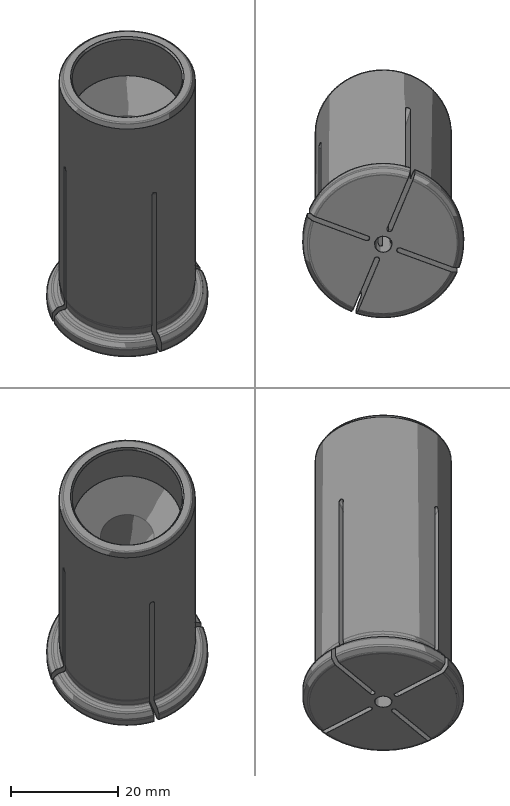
import cadquery as cq
import math

length = 60.0
body_radius = 25.4 / 2

flange_radius = 15.0
flange_height = 4.0
flange_chamfer = 1.0
flange_edge_fillet = 0.55

groove_depth = 0.15
groove_top = 5.8
groove_taper_height = 0.6
groove_fillet = 0.5

top_chamfer_width = 0.6
top_chamfer_height = 1.0
top_edge_fillet = 0.35

bore_radius = 3.2 / 2
cup_radius = 20.5 / 2
cup_depth = 10.1
cup_chamfer_width = 0.3
cup_chamfer_height = 0.5
throat_radius = 10.0 / 2
upper_cone_half_angle = 45.0
lower_cone_half_angle = 30.0

slot_width = 0.95
slot_floor_radius = 34.9
slot_centre_height = 14.05
slot_overcut = 0.2
slot_count = 4

tolerance = 0.0005


def cone_height(outer_radius, inner_radius, half_angle):
    """Height of a cone between two radii."""
    return (outer_radius - inner_radius) / math.tan(math.radians(half_angle))


def fillet_circles(body, circles, fillet_radius):
    """Round the circular edges given as (radius, height) pairs."""
    edges = []
    for radius, height in circles:
        for edge in body.edges("%CIRCLE").vals():
            if abs(edge.radius() - radius) < tolerance and abs(edge.Center().z - height) < tolerance:
                edges.append(edge)
    return body.newObject(edges).fillet(fillet_radius)


def make_body():
    """Flange and body turned from one outline, with the outer edges rounded."""
    groove_radius = body_radius - groove_depth
    outline = (
        cq.Workplane("XZ")
        .lineTo(flange_radius - flange_chamfer, 0)
        .lineTo(flange_radius, flange_chamfer)
        .lineTo(flange_radius, flange_height - flange_chamfer)
        .lineTo(flange_radius - flange_chamfer, flange_height)
        .lineTo(groove_radius, flange_height)
        .lineTo(groove_radius, groove_top)
        .lineTo(body_radius, groove_top + groove_taper_height)
        .lineTo(body_radius, length - top_chamfer_height)
        .lineTo(body_radius - top_chamfer_width, length)
        .lineTo(0, length)
        .close()
    )
    body = outline.revolve(360, (0, 0, 0), (0, 1, 0))

    flange_corners = ((flange_radius, flange_height - flange_chamfer),
                      (flange_radius, flange_chamfer),
                      (flange_radius - flange_chamfer, flange_height),
                      (flange_radius - flange_chamfer, 0))
    body = fillet_circles(body, flange_corners, flange_edge_fillet)
    body = fillet_circles(body, ((groove_radius, flange_height),), groove_fillet)
    return fillet_circles(body, ((body_radius - top_chamfer_width, length),), top_edge_fillet)


def make_hollow():
    """Chamfered cup, two cones and through bore, as one turned solid."""
    cup_floor = length - cup_depth
    throat_height = cup_floor - cone_height(cup_radius, throat_radius, upper_cone_half_angle)
    bore_top = throat_height - cone_height(throat_radius, bore_radius, lower_cone_half_angle)
    outline = (
        cq.Workplane("XZ")
        .lineTo(bore_radius, 0)
        .lineTo(bore_radius, bore_top)
        .lineTo(throat_radius, throat_height)
        .lineTo(cup_radius, cup_floor)
        .lineTo(cup_radius, length - cup_chamfer_height)
        .lineTo(cup_radius + cup_chamfer_width, length)
        .lineTo(0, length)
        .close()
    )
    return outline.revolve(360, (0, 0, 0), (0, 1, 0))


def make_slot_disc():
    """Disc with a rounded rim, standing in the XZ plane and centred outside the sleeve."""
    half_width = slot_width / 2
    straight = slot_floor_radius - half_width
    disc = (
        cq.Workplane("XY")
        .moveTo(0, -half_width)
        .lineTo(straight, -half_width)
        .threePointArc((slot_floor_radius, 0), (straight, half_width))
        .lineTo(0, half_width)
        .close()
        .revolve(360, (0, 0, 0), (0, 1, 0))
    )
    return disc.translate((slot_floor_radius - slot_overcut, 0, slot_centre_height))


result = make_body().cut(make_hollow())
slot_disc = make_slot_disc()
for index in range(slot_count):
    turn = index * 360 / slot_count
    result = result.cut(slot_disc.rotate((0, 0, 0), (0, 0, 1), turn))